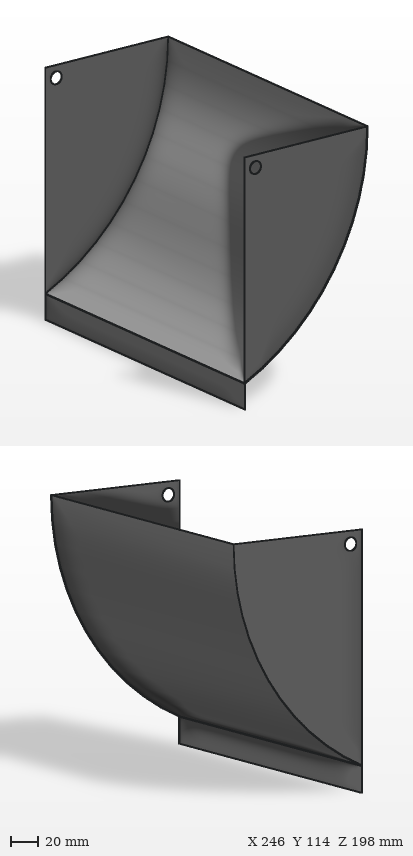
import cadquery as cq
import math

width = 246.0
depth = 114.0
height = 198.0
sheet = 0.5
lip_height = 20.2
hole_diameter = 10.0
hole_inset = 10.0

bowl_height = height - lip_height
outer_radius = (depth**2 + bowl_height**2) / (2 * depth)
arc_center_y = depth - outer_radius


def quadrant_profile(radius, x_start):
    """Region between the front plane, the rim plane and an arc about the bowl's axis."""
    sweep = math.acos(-arc_center_y / radius)
    front_z = height - radius * math.sin(sweep)
    middle = (
        arc_center_y + radius * math.cos(sweep / 2),
        height - radius * math.sin(sweep / 2),
    )
    return (
        cq.Workplane("YZ", origin=(x_start, 0, 0))
        .moveTo(0, height)
        .lineTo(arc_center_y + radius, height)
        .threePointArc(middle, (0, front_z))
        .close()
    )


def make_bowl():
    """Curved sheet closed by two end plates, each with a pivot hole."""
    outside = quadrant_profile(outer_radius, 0).extrude(width)
    inside = quadrant_profile(outer_radius - sheet, sheet).extrude(width - 2 * sheet)
    pivot_holes = (
        cq.Workplane("YZ")
        .center(hole_inset, height - hole_inset)
        .circle(hole_diameter / 2)
        .extrude(width)
    )
    return outside.cut(inside).cut(pivot_holes)


def make_lip():
    """Flat strip that hangs below the front edge of the bowl."""
    return cq.Workplane("XY").box(width, sheet, lip_height, centered=False)


bowl = make_bowl()
lip = make_lip()

result = cq.Compound.makeCompound([bowl.solids().val(), lip.solids().val()])